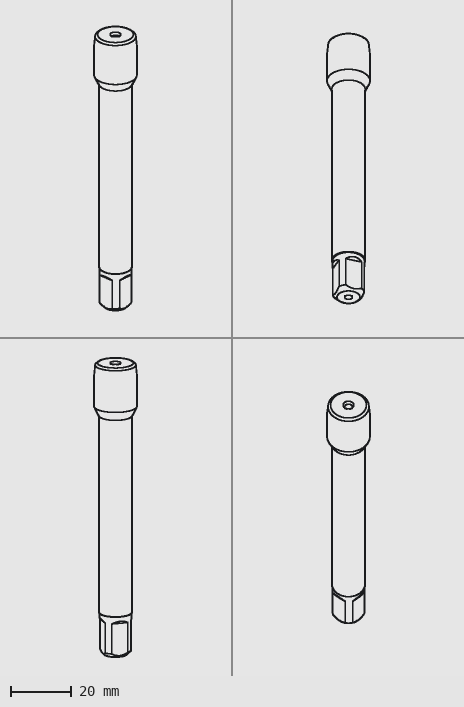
import cadquery as cq

length = 100.0
shank_radius = 11.0 / 2

head_radius = 14.2 / 2
top_face_radius = 11.8 / 2
rim_radius = 13.5 / 2
rim_chamfer_height = 0.7
head_cylinder_top = 95.7
head_cylinder_bottom = 85.1
neck_top = 82.5
neck_bottom = 81.9
neck_radius = 11.8 / 2

drive_radius = 10.6 / 2
drive_shoulder = 14.2
shoulder_chamfer = shank_radius - drive_radius
tip_chamfer = 1.5
flat_distance = 9.0 / 2
flat_top = 11.8
runout_height = 0.9

bore_diameter = 2.5
mouth_diameter = 3.5
mouth_depth = 0.9


def turned_body():
    """Revolve the half outline of the whole bar about Z."""
    outline = (
        cq.Workplane("XZ")
        .moveTo(0, 0)
        .lineTo(drive_radius - tip_chamfer, 0)
        .lineTo(drive_radius, tip_chamfer)
        .lineTo(drive_radius, drive_shoulder)
        .lineTo(shank_radius, drive_shoulder + shoulder_chamfer)
        .lineTo(shank_radius, neck_bottom)
        .lineTo(neck_radius, neck_top)
        .lineTo(head_radius, head_cylinder_bottom)
        .lineTo(head_radius, head_cylinder_top)
        .lineTo(rim_radius, length - rim_chamfer_height)
        .lineTo(top_face_radius, length)
        .lineTo(0, length)
        .close()
    )
    return outline.revolve(360, (0, 0), (0, 1))


def flat_cutter():
    """Material removed beside the +X flat, with a sloped runout at its top."""
    return (
        cq.Workplane("XZ")
        .moveTo(flat_distance, 0)
        .lineTo(drive_radius, 0)
        .lineTo(drive_radius, flat_top + runout_height)
        .lineTo(flat_distance, flat_top)
        .close()
        .extrude(drive_radius, both=True)
    )


result = turned_body()

for side in range(4):
    result = result.cut(flat_cutter().rotate((0, 0, 0), (0, 0, 1), 90 * side))

result = result.faces(">Z").workplane().circle(bore_diameter / 2).cutThruAll()
mouth = (
    cq.Workplane("XY", origin=(0, 0, length - mouth_depth))
    .circle(bore_diameter / 2)
    .workplane(offset=mouth_depth)
    .circle(mouth_diameter / 2)
    .loft()
)
result = result.cut(mouth)